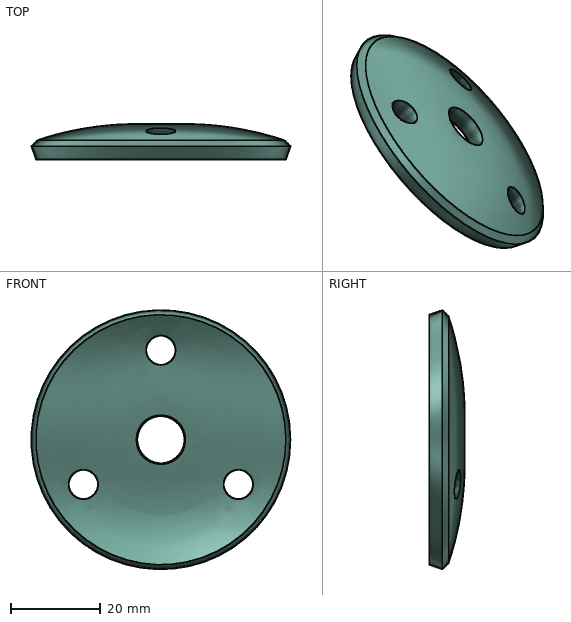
import cadquery as cq
import math

outer_diameter = 58.0
dish_height = 8.0

base_radius = 27.95
flank_height = 2.95
rim_chamfer = 1.4

center_hole_diameter = 10.5
center_hole_chamfer = 0.25

wall_thickness = 4.0

fixing_hole_count = 3
fixing_hole_diameter = 6.5
fixing_circle_radius = 20.0

outer_radius = outer_diameter / 2
center_hole_radius = center_hole_diameter / 2
dome_edge_radius = outer_radius - rim_chamfer
dome_edge_height = flank_height + rim_chamfer
mouth_radius = center_hole_radius + center_hole_chamfer
mouth_height = dish_height - wall_thickness


def arc_midpoint(crest, edge):
    """Middle of the arc that leaves the crest square to the axis and drops to the edge."""
    run = edge[0] - crest[0]
    drop = crest[1] - edge[1]
    radius = (run**2 + drop**2) / (2 * drop)
    half_angle = math.asin(run / radius) / 2
    return (
        crest[0] + radius * math.sin(half_angle),
        crest[1] - radius * (1 - math.cos(half_angle)),
    )


def make_dish():
    """Revolve the wall profile, from the central hole to the rim, around the Y axis."""
    mouth = (mouth_radius, mouth_height)
    base_edge = (base_radius, 0)
    dome_edge = (dome_edge_radius, dome_edge_height)
    crown_edge = (center_hole_radius, dish_height)
    profile = (
        cq.Workplane("XY")
        .moveTo(*mouth)
        .threePointArc(arc_midpoint(mouth, base_edge), base_edge)
        .lineTo(outer_radius, flank_height)
        .lineTo(*dome_edge)
        .threePointArc(arc_midpoint(crown_edge, dome_edge), crown_edge)
        .lineTo(center_hole_radius, mouth_height + center_hole_chamfer)
        .close()
    )
    return profile.revolve(360, (0, 0, 0), (0, 1, 0))


def make_fixing_holes():
    """Through holes parallel to the axis."""
    return (
        cq.Workplane("XZ")
        .polarArray(fixing_circle_radius, 90, 360, fixing_hole_count)
        .circle(fixing_hole_diameter / 2)
        .extrude(-dish_height)
    )


result = make_dish().cut(make_fixing_holes())